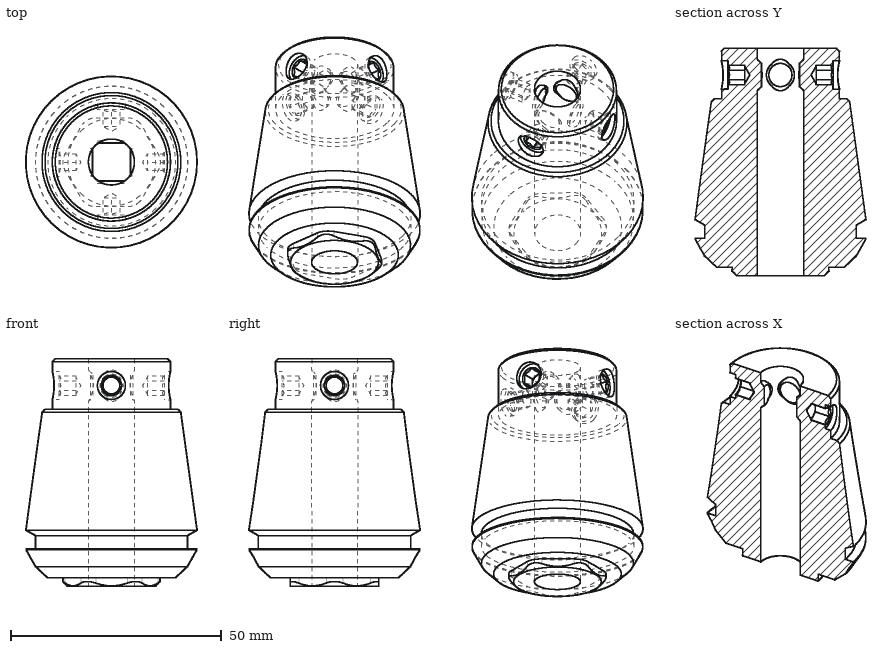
import cadquery as cq
import math

total_height = 54.0
nut_height = 2.0
lower_bevel_top = 4.7
flange_rim_bottom = 8.7
flange_top = 8.95
groove_top = 12.05
cone_bottom = 13.35
shoulder_height = 42.0

foot_diameter = 30.3
lower_bevel_diameter = 36.05
flange_diameter = 40.55
groove_diameter = 36.2
cone_bottom_diameter = 40.65
cone_top_diameter = 32.95
neck_diameter = 28.0
bore_diameter = 10.9
edge_chamfer = 0.7

hex_flats = 21.05
hex_corner_fillet = 4.0
hex_end_diameter = 20.8

screw_count = 4
screw_diameter = 8.0
screw_tip_diameter = 5.5
screw_hole_diameter = 6.65
screw_center_height = 47.65
screw_tip_position = 4.5
screw_length = 8.0
screw_head_position = screw_tip_position + screw_length
socket_flats = 4.0
socket_depth = 4.0
socket_countersink_diameter = 4.8
socket_point_angle = 120.0


def hexagon_corner_diameter(flats):
    return flats / math.cos(math.pi / 6)


def turned_body():
    neck_radius = neck_diameter / 2
    cone_top_radius = cone_top_diameter / 2
    profile = [
        (0, nut_height),
        (foot_diameter / 2, nut_height),
        (lower_bevel_diameter / 2, lower_bevel_top),
        (flange_diameter / 2, flange_rim_bottom),
        (flange_diameter / 2, flange_top),
        (groove_diameter / 2, flange_top),
        (groove_diameter / 2, groove_top),
        (cone_bottom_diameter / 2, cone_bottom),
        (cone_top_radius, shoulder_height - edge_chamfer),
        (cone_top_radius - edge_chamfer, shoulder_height),
        (neck_radius, shoulder_height),
        (neck_radius, total_height - edge_chamfer),
        (neck_radius - edge_chamfer, total_height),
        (0, total_height),
    ]
    return cq.Workplane("XZ").polyline(profile).close().revolve(360, (0, 0), (0, 1))


def hex_end():
    """Rounded hexagon with corners on the X axis, bevelled at 45 degrees around its bottom."""
    prism = (
        cq.Workplane("XY")
        .polygon(6, hexagon_corner_diameter(hex_flats))
        .extrude(nut_height)
        .edges("|Z")
        .fillet(hex_corner_fillet)
    )
    end_radius = hex_end_diameter / 2
    bevel_limit = (
        cq.Workplane("XZ")
        .polyline([(0, 0), (end_radius, 0), (end_radius + nut_height, nut_height), (0, nut_height)])
        .close()
        .revolve(360, (0, 0), (0, 1))
    )
    return prism.intersect(bevel_limit)


def cone_along_x(start_x, start_radius, end_x, end_radius):
    profile = [(start_x, 0), (start_x, start_radius), (end_x, end_radius)]
    if end_radius > 0:
        profile.append((end_x, 0))
    return cq.Workplane("XZ").polyline(profile).close().revolve(360, (0, 0), (1, 0))


def cylinder_along_x(start_x, end_x, diameter):
    return cq.Workplane("YZ", origin=(start_x, 0, 0)).circle(diameter / 2).extrude(end_x - start_x)


def screw_hole():
    """Radial hole along +X from the bore axis out through the neck wall."""
    return cylinder_along_x(0, neck_diameter, screw_hole_diameter)


def set_screw():
    """Screw along +X with a flat 45 degree tip in the bore and a plain outer end."""
    tip_radius = screw_tip_diameter / 2
    screw_radius = screw_diameter / 2
    tip_base = screw_tip_position + screw_radius - tip_radius
    tip = cone_along_x(screw_tip_position, tip_radius, tip_base, screw_radius)
    shank = cylinder_along_x(tip_base, screw_head_position, screw_diameter)
    return tip.union(shank)


def hexagon_socket():
    """Countersunk hexagon socket with upright side walls and a drill point at its floor."""
    socket_floor = screw_head_position - socket_depth
    hexagon = (
        cq.Workplane("YZ", origin=(socket_floor, 0, 0))
        .transformed(rotate=(0, 0, 90))
        .polygon(6, hexagon_corner_diameter(socket_flats))
        .extrude(socket_depth)
    )
    point_radius = socket_flats / 2
    point_length = point_radius / math.tan(math.radians(socket_point_angle / 2))
    drill_point = cone_along_x(socket_floor, point_radius, socket_floor - point_length, 0)
    countersink_radius = socket_countersink_diameter / 2
    countersink_floor = screw_head_position - (countersink_radius - point_radius)
    countersink = cone_along_x(
        screw_head_position, countersink_radius, countersink_floor, point_radius
    )
    return hexagon.union(drill_point).union(countersink)


def place_in_neck(radial_feature, index):
    angle = index * 360 / screw_count
    return radial_feature.translate((0, 0, screw_center_height)).rotate((0, 0, 0), (0, 0, 1), angle)


bore = cq.Workplane("XY").circle(bore_diameter / 2).extrude(total_height)

result = turned_body().union(hex_end()).cut(bore)
for screw_index in range(screw_count):
    result = result.cut(place_in_neck(screw_hole(), screw_index))

for screw_index in range(screw_count):
    result = result.union(place_in_neck(set_screw(), screw_index))
    result = result.cut(place_in_neck(hexagon_socket(), screw_index))